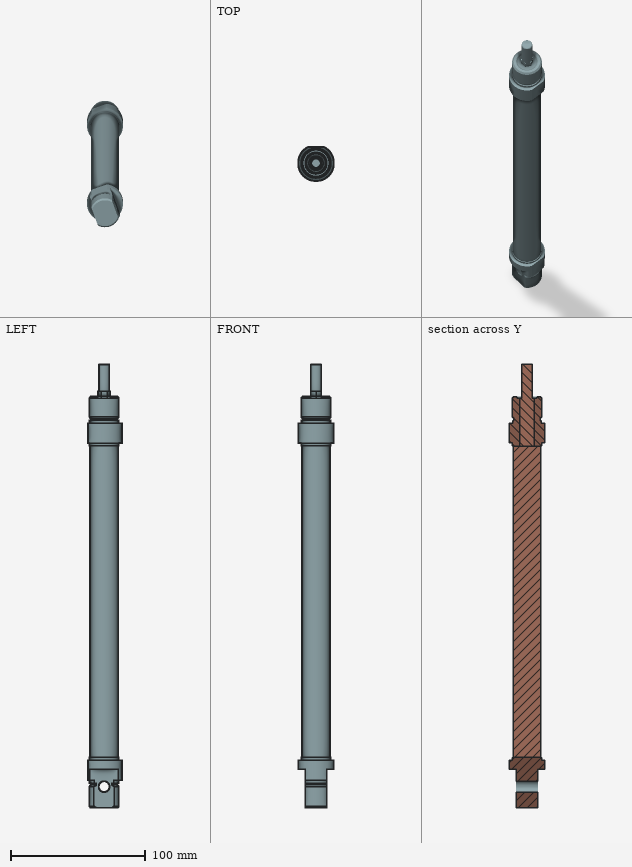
import cadquery as cq
import math

TOTAL_LENGTH = 331.0
FRONT_FACE_Z = 307.0
FRONT_FLANGE_TOP_Z = 287.0
FRONT_FLANGE_BOTTOM_Z = 272.0
REAR_FLANGE_TOP_Z = 35.7
EYE_SHOULDER_Z = 28.8
REAR_FLANGE_BOTTOM_Z = 20.5
EYE_HOLE_Z = 16.0

BARREL_DIAMETER = 21.2
CRIMP_DIAMETER = 22.2
CRIMP_LENGTH = 2.0

FLANGE_DIAMETER = 26.8
FLANGE_DEPTH = 25.5
FLANGE_FLAT_Y = FLANGE_DEPTH - FLANGE_DIAMETER / 2

RING_DIAMETER = 22.0
RING_LENGTH = 2.0
RELIEF_DIAMETER = 20.0
RELIEF_LENGTH = 1.3
THREAD_DIAMETER = 22.2
THREAD_CHAMFER_HEIGHT = 1.3
THREAD_END_DIAMETER = RELIEF_DIAMETER

RECESS_DIAMETER = 16.2
RECESS_FLOOR_DIAMETER = 14.2
RECESS_DEPTH = 1.0
RECESS_FLOOR_Z = FRONT_FACE_Z - RECESS_DEPTH

EYE_WIDTH = 16.2
EYE_HOLE_DIAMETER = 8.0

ROD_SHAFT_DIAMETER = 10.5
ROD_END_DIAMETER = 8.0
HEX_ACROSS_FLATS = ROD_END_DIAMETER
ROD_TIP_CHAMFER = 0.5
HEX_TOP_Z = 310.8

BARREL_BOTTOM_Z = REAR_FLANGE_TOP_Z + CRIMP_LENGTH
BARREL_TOP_Z = FRONT_FLANGE_BOTTOM_Z - CRIMP_LENGTH


def cylinder(diameter, bottom, top):
    """Round bar on the Z axis between two heights."""
    return cq.Workplane("XY").workplane(offset=bottom).circle(diameter / 2).extrude(top - bottom)


def revolve(outline):
    """Solid of revolution about Z from (radius, z) points."""
    return cq.Workplane("XZ").polyline(outline).close().revolve(360, (0, 0), (0, 1))


def flange(bottom, top):
    """Cap flange with its flat facing +Y."""
    flat_cutter = (
        cq.Workplane("XY")
        .workplane(offset=bottom)
        .center(0, FLANGE_FLAT_Y + FLANGE_DIAMETER / 2)
        .rect(FLANGE_DIAMETER, FLANGE_DIAMETER)
        .extrude(top - bottom)
    )
    return cylinder(FLANGE_DIAMETER, bottom, top).cut(flat_cutter)


def spigot(flange_z, end_z):
    """Ring, relief groove and chamfered thread from a flange face outward to end_z."""
    outward = math.copysign(1, end_z - flange_z)
    ring_z = flange_z + outward * RING_LENGTH
    thread_z = ring_z + outward * RELIEF_LENGTH
    chamfer = outward * THREAD_CHAMFER_HEIGHT
    return revolve([
        (0, flange_z),
        (RING_DIAMETER / 2, flange_z),
        (RING_DIAMETER / 2, ring_z),
        (RELIEF_DIAMETER / 2, ring_z),
        (RELIEF_DIAMETER / 2, thread_z),
        (THREAD_DIAMETER / 2, thread_z + chamfer),
        (THREAD_DIAMETER / 2, end_z - chamfer),
        (THREAD_END_DIAMETER / 2, end_z),
        (0, end_z),
    ])


def make_barrel():
    return cylinder(BARREL_DIAMETER, BARREL_BOTTOM_Z, BARREL_TOP_Z)


def make_front_cap():
    cap = cylinder(CRIMP_DIAMETER, BARREL_TOP_Z, FRONT_FLANGE_BOTTOM_Z)
    cap = cap.union(flange(FRONT_FLANGE_BOTTOM_Z, FRONT_FLANGE_TOP_Z))
    cap = cap.union(spigot(FRONT_FLANGE_TOP_Z, FRONT_FACE_Z))
    recess = revolve([
        (0, RECESS_FLOOR_Z),
        (RECESS_FLOOR_DIAMETER / 2, RECESS_FLOOR_Z),
        (RECESS_DIAMETER / 2, FRONT_FACE_Z),
        (0, FRONT_FACE_Z),
    ])
    rod_hole = cylinder(ROD_SHAFT_DIAMETER, BARREL_TOP_Z, FRONT_FACE_Z)
    return cap.cut(recess).cut(rod_hole)


def make_rear_cap():
    cap = cylinder(CRIMP_DIAMETER, REAR_FLANGE_TOP_Z, BARREL_BOTTOM_Z)
    cap = cap.union(flange(REAR_FLANGE_BOTTOM_Z, REAR_FLANGE_TOP_Z))
    cap = cap.union(spigot(REAR_FLANGE_BOTTOM_Z, 0))

    for side in (1, -1):
        flat_cutter = (
            cq.Workplane("XY")
            .center(side * (EYE_WIDTH + FLANGE_DIAMETER) / 2, 0)
            .rect(FLANGE_DIAMETER, 2 * FLANGE_DIAMETER)
            .extrude(EYE_SHOULDER_Z)
        )
        cap = cap.cut(flat_cutter)

    eye_hole = (
        cq.Workplane("YZ")
        .center(0, EYE_HOLE_Z)
        .circle(EYE_HOLE_DIAMETER / 2)
        .extrude(EYE_WIDTH, both=True)
    )
    return cap.cut(eye_hole)


def make_rod():
    shaft = cylinder(ROD_SHAFT_DIAMETER, BARREL_TOP_Z, RECESS_FLOOR_Z)
    hex_corner_diameter = HEX_ACROSS_FLATS / math.cos(math.pi / 6)
    hexagon = (
        cq.Workplane("XY")
        .workplane(offset=RECESS_FLOOR_Z)
        .transformed(rotate=(0, 0, 90))
        .polygon(6, hex_corner_diameter)
        .extrude(HEX_TOP_Z - RECESS_FLOOR_Z)
    )
    threaded_end = cylinder(ROD_END_DIAMETER, HEX_TOP_Z, TOTAL_LENGTH)
    threaded_end = threaded_end.faces(">Z").chamfer(ROD_TIP_CHAMFER)
    return shaft.union(hexagon).union(threaded_end)


barrel = make_barrel()
front_cap = make_front_cap()
rear_cap = make_rear_cap()
rod = make_rod()

result = cq.Compound.makeCompound([barrel.val(), front_cap.val(), rear_cap.val(), rod.val()])